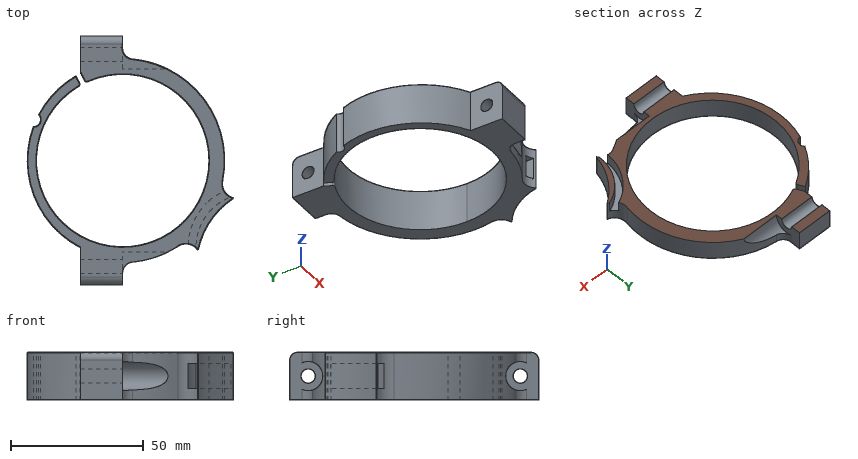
import cadquery as cq
import math

height = 18.0
mid_height = height / 2
bore_radius = 32.5
body_radius = 38.5
band_radius = 37.0
band_offset = 1.0

block_width = 16.0
block_reach = 47.0
block_root = 30.0
block_top_fillet = 3.0
block_root_fillet = 4.0
bolt_spacing = 80.0
bolt_diameter = 5.3
bolt_head_diameter = 11.0

gap_angle = 117.3
gap_width = 2.0
gap_corner_fillet = 1.0

groove_angle = 155.3
groove_axis_distance = 37.0
groove_diameter = 5.3

lug_angle = -34.3
cradle_radius = 31.0
cradle_axis_distance = 71.25
horn_fillet = 5.5
horn_reach = 44.0
horn_fillet_angle = 22.85
strap_axis_distance = 57.7
strap_inner_radius = 20.0
strap_outer_radius = 23.0
strap_width = 9.4

top_chamfer = 0.25


def polar(radius, angle):
    """Point at a radius and an angle in degrees."""
    return (radius * math.cos(math.radians(angle)), radius * math.sin(math.radians(angle)))


def toward(start, target, distance):
    """Point at a distance from start on the way to target."""
    share = distance / math.dist(start, target)
    return (start[0] + share * (target[0] - start[0]), start[1] + share * (target[1] - start[1]))


def mirrored(point):
    """Point reflected across the X axis."""
    return (point[0], -point[1])


def half_disc(radius, center_x, side):
    """Disc about (center_x, 0), kept on one side of the plane X = 0."""
    reach = 2 * radius
    keep = cq.Workplane("XY").box(reach, 2 * reach, height, centered=(True, True, False))
    disc = cq.Workplane("XY").center(center_x, 0).circle(radius).extrude(height)
    return disc.intersect(keep.translate((side * reach / 2, 0, 0)))


def block(side):
    """Mounting block on the side * Y end, rounded along its outer top edge."""
    length = block_reach - block_root
    body = cq.Workplane("XY").box(block_width, length, height, centered=(True, True, False))
    body = body.translate((-block_width / 2, side * (block_root + length / 2), 0))
    outer_face = ">Y" if side > 0 else "<Y"
    return body.faces(outer_face).edges(">Z").fillet(block_top_fillet)


def block_root_web(side):
    """Material filling the corner between a block and the ring, with a concave arc face."""
    center_distance = body_radius + block_root_fillet
    center = (block_root_fillet, side * math.sqrt(center_distance**2 - block_root_fillet**2))
    block_tangent = (0, center[1])
    ring_tangent = toward((0, 0), center, body_radius)
    middle = toward(center, (0, side * body_radius), block_root_fillet)
    return (
        cq.Workplane("XY")
        .moveTo(*block_tangent)
        .threePointArc(middle, ring_tangent)
        .lineTo(0, side * block_root)
        .close()
        .extrude(height)
    )


def horn_tip(fillet_center):
    """Outermost meeting point of a horn fillet and the cradle, with the lug axis along +X."""
    cradle_center = (cradle_axis_distance, 0)
    span = math.dist(fillet_center, cradle_center)
    along = (horn_fillet**2 - cradle_radius**2 + span**2) / (2 * span)
    across = math.sqrt(horn_fillet**2 - along**2)
    foot = toward(fillet_center, cradle_center, along)
    unit = toward((0, 0), (cradle_center[0] - fillet_center[0], cradle_center[1] - fillet_center[1]), 1)
    return (foot[0] + unit[1] * across, foot[1] - unit[0] * across)


def lug():
    """Two-horned lug with a concave cradle face."""
    fillet_center = polar(body_radius + horn_fillet, horn_fillet_angle)
    root = polar(body_radius, horn_fillet_angle)
    tip = horn_tip(fillet_center)
    chord_middle = ((root[0] + tip[0]) / 2, (root[1] + tip[1]) / 2)
    flank_middle = toward(fillet_center, chord_middle, horn_fillet)
    reach = cq.Workplane("XY").circle(horn_reach).extrude(height)
    return (
        cq.Workplane("XY")
        .moveTo(*root)
        .threePointArc(flank_middle, tip)
        .threePointArc((cradle_axis_distance - cradle_radius, 0), mirrored(tip))
        .threePointArc(mirrored(flank_middle), mirrored(root))
        .close()
        .extrude(height)
        .intersect(reach)
        .rotate((0, 0, 0), (0, 0, 1), lug_angle)
    )


def strap_slot():
    """Curved slot running through the lug and out of both horn flanks."""
    return (
        cq.Workplane("XY", origin=(0, 0, mid_height - strap_width / 2))
        .center(*polar(strap_axis_distance, lug_angle))
        .circle(strap_outer_radius)
        .circle(strap_inner_radius)
        .extrude(strap_width)
    )


def bolt_cutters(side):
    """Bolt hole through a block and the clearance for its head beyond the +X face."""
    axis = cq.Workplane("YZ").center(side * bolt_spacing / 2, mid_height)
    hole = axis.circle(bolt_diameter / 2).extrude(-block_width)
    head = axis.circle(bolt_head_diameter / 2).extrude(body_radius)
    return hole.union(head)


def groove():
    """Cutter for the groove along the outside of the band."""
    center = polar(groove_axis_distance, groove_angle)
    return cq.Workplane("XY").center(*center).circle(groove_diameter / 2).extrude(height)


def split(body):
    """Body with the gap cut through the ring wall and its bore corners rounded."""
    gap = (
        cq.Workplane("XY")
        .box(block_reach, gap_width, height, centered=(False, True, False))
        .rotate((0, 0, 0), (0, 0, 1), gap_angle)
    )
    corner_x, corner_y = polar(bore_radius, gap_angle)
    corners = cq.selectors.BoxSelector(
        (corner_x - gap_width, corner_y - gap_width, 0),
        (corner_x + gap_width, corner_y + gap_width, height),
    )
    return body.cut(gap).edges("|Z").edges(corners).fillet(gap_corner_fillet)


def sharp_zones():
    """Zones whose top edge stays sharp: the -Y root of the ring and the rounded +Y block end."""
    mid_wall = (bore_radius + body_radius) / 2
    lug_root_angle = lug_angle - horn_fillet_angle
    behind_face = -2 * top_chamfer
    root_zone = (
        cq.Workplane("XY")
        .polyline([
            polar(mid_wall, lug_root_angle),
            polar(block_reach, lug_root_angle),
            (0, -block_reach),
            (behind_face, -block_reach),
            (behind_face, -mid_wall),
        ])
        .close()
        .extrude(height)
    )
    block_end_zone = cq.Workplane("XY").box(
        -behind_face, block_top_fillet, height, centered=False
    ).translate((behind_face, block_reach - block_top_fillet, 0))
    return root_zone.union(block_end_zone)


def chamfered(body):
    """Body with its curved top edges broken, except in the sharp zones."""
    broken = body.faces(">Z").edges("%CIRCLE").chamfer(top_chamfer)
    return broken.union(body.intersect(sharp_zones()))


ring = half_disc(body_radius, 0, 1).union(half_disc(band_radius, band_offset, -1))
for end in (1, -1):
    ring = ring.union(block(end)).union(block_root_web(end))
ring = ring.union(lug())
ring = ring.cut(cq.Workplane("XY").circle(bore_radius).extrude(height))
ring = ring.cut(groove()).cut(strap_slot())
for end in (1, -1):
    ring = ring.cut(bolt_cutters(end))
ring = split(ring)
result = chamfered(ring)